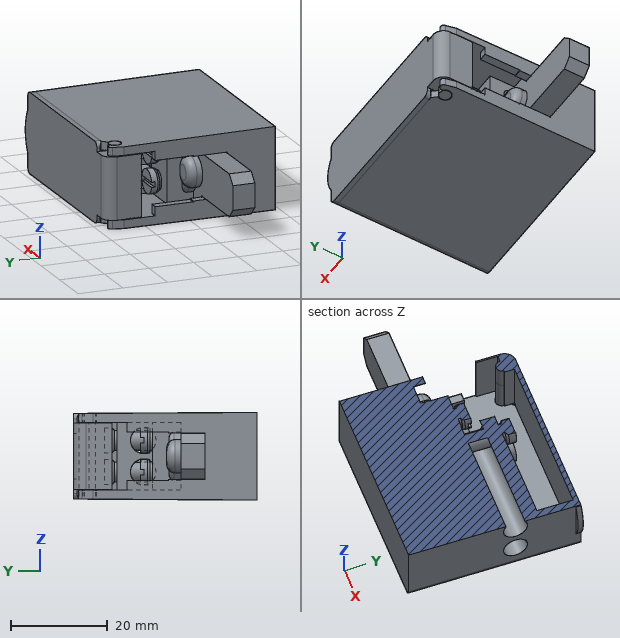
import cadquery as cq
import math

BODY_LENGTH = 42.1
TOTAL_HEIGHT = 38.0
BASE_WIDTH = 18.2
BASE_HALF_WIDTH = BASE_WIDTH / 2
LID_HALF_WIDTH = 8.9
LONG_EDGE_RADIUS = 1.2
WALL = 1.8

LID_THICKNESS = 1.15
LID_UNDERSIDE = TOTAL_HEIGHT - LID_THICKNESS
LID_START = 4.75
LID_END_RADIUS = 1.15
LID_END_BEVEL = 0.45
LID_CORNER_RADIUS = 2.6
FLAP_HALF_WIDTH = 6.9
FLAP_THICKNESS = 0.45
FLAP_BOTTOM = 30.0
TAB_LENGTH = 1.35
TAB_HALF_WIDTH = 4.7

PIN_X = 3.05
PIN_Y = 34.75
PIN_RADIUS = 1.35
SEAT_RADIUS = 1.45
SEAT_LEFT_ANGLE = 130
SEAT_RIGHT_ANGLE = 40
TOOTH_BASE_Y = 33.9
TOOTH_SHOULDER = (0.5, 36.25)
TOOTH_CREST = (1.2, 36.95)
SEAT_MOUTH_X = LID_START + LID_END_BEVEL

PRONG_LENGTH = 15.0
PRONG_BOTTOM = 10.8
PRONG_TOP = 15.7
PRONG_HALF_WIDTH = 4.7
PRONG_CHAMFER = 2.0

CAVITY_HALF_WIDTH = 7.0
SLOT_HALF_WIDTH = 5.0
PRONG_SLOT_HALF_WIDTH = 4.85
PRONG_SLOT_TOP = 18.35
OPENING_STEP_Y = 26.9
MIDDLE_STEP_X = 6.3
MIDDLE_STEP_Y = 21.65
UPPER_STEP_X = 14.6
UPPER_STEP_Y = 28.95

SCREW_PAIR_Z = 3.3
PRONG_SCREW_X = 4.8
PRONG_SCREW_RADIUS = 3.45
PRONG_SCREW_TOP_Y = 18.7
PRONG_SCREW_ROUNDING = 1.75
CLAMP_SCREW_X = 10.35
CLAMP_SCREW_RADIUS = 6.45
CLAMP_SCREW_TOP_Y = 18.25
CLAMP_SCREW_ROUNDING = 1.05
MIDDLE_SCREW_X = 11.35
MIDDLE_SCREW_RADIUS = 2.7
MIDDLE_SCREW_BASE_RADIUS = 2.5
MIDDLE_NECK_RADIUS = 2.15
MIDDLE_NECK_TOP = 22.15
MIDDLE_BEVEL_TOP = 22.7
MIDDLE_SCREW_TOP = 24.1
DRIVE_SLOT_WIDTH = 1.1
DRIVE_SLOT_DEPTH = 0.7
UPPER_SCREW_X = 18.1
UPPER_SHANK_RADIUS = 2.05
UPPER_SHANK_TOP = 29.45
UPPER_SCREW_RADIUS = 2.6
UPPER_SCREW_RIM_Y = 30.0
UPPER_SCREW_TOP = 31.6

WIRE_HOLE_RADIUS = 2.65
WIRE_HOLE_Y = 23.55


def block(x_range, y_range, half_width):
    """Box between the given X and Y limits, centred on Z = 0."""
    x_start, x_end = x_range
    y_start, y_end = y_range
    return (
        cq.Workplane("XY")
        .box(x_end - x_start, y_end - y_start, 2 * half_width, centered=(False, False, True))
        .translate((x_start, y_start, 0))
    )


def on_seat(angle):
    """Point on the rim of the pin seat, angle in degrees from +X."""
    turn = math.radians(angle)
    return (PIN_X + SEAT_RADIUS * math.cos(turn), PIN_Y + SEAT_RADIUS * math.sin(turn))


def tapered_body():
    """Body narrowing slightly towards the lid, with the hinge teeth on its upper front corner."""
    taper = (
        cq.Workplane("YZ")
        .polyline([
            (0, -BASE_HALF_WIDTH),
            (0, BASE_HALF_WIDTH),
            (LID_UNDERSIDE, LID_HALF_WIDTH),
            (TOTAL_HEIGHT, LID_HALF_WIDTH),
            (TOTAL_HEIGHT, -LID_HALF_WIDTH),
            (LID_UNDERSIDE, -LID_HALF_WIDTH),
        ])
        .close()
        .extrude(BODY_LENGTH)
        .faces(">X").edges("not |Z").fillet(LONG_EDGE_RADIUS)
    )
    side = (
        cq.Workplane("XY")
        .moveTo(0, 0)
        .lineTo(BODY_LENGTH, 0)
        .lineTo(BODY_LENGTH, LID_UNDERSIDE)
        .lineTo(SEAT_MOUTH_X, LID_UNDERSIDE)
        .lineTo(*on_seat(SEAT_RIGHT_ANGLE))
        .threePointArc(on_seat(-90), on_seat(SEAT_LEFT_ANGLE))
        .threePointArc(TOOTH_CREST, TOOTH_SHOULDER)
        .lineTo(0, TOOTH_BASE_Y)
        .close()
        .extrude(BASE_HALF_WIDTH, both=True)
    )
    return taper.intersect(side)


def cavity():
    """Front opening and the three-step space behind it."""
    rear = BODY_LENGTH - WALL
    stairs = (
        cq.Workplane("XY")
        .polyline([
            (WALL, PRONG_TOP),
            (MIDDLE_STEP_X, PRONG_TOP),
            (MIDDLE_STEP_X, MIDDLE_STEP_Y),
            (UPPER_STEP_X, MIDDLE_STEP_Y),
            (UPPER_STEP_X, UPPER_STEP_Y),
            (rear, UPPER_STEP_Y),
            (rear, LID_UNDERSIDE),
            (WALL, LID_UNDERSIDE),
        ])
        .close()
        .extrude(CAVITY_HALF_WIDTH, both=True)
    )
    wide_opening = block((0, WALL), (OPENING_STEP_Y, TOTAL_HEIGHT), CAVITY_HALF_WIDTH)
    narrow_opening = block((0, WALL), (PRONG_SLOT_TOP, OPENING_STEP_Y), SLOT_HALF_WIDTH)
    prong_slot = block((0, WALL), (PRONG_BOTTOM, PRONG_SLOT_TOP), PRONG_SLOT_HALF_WIDTH)
    return stairs.union(wide_opening).union(narrow_opening).union(prong_slot)


def lid():
    """Lid plate with its pull tab, the flap over the opening and the hinge pin."""
    plate = block((LID_START, BODY_LENGTH), (LID_UNDERSIDE, TOTAL_HEIGHT), LID_HALF_WIDTH)
    plate = plate.edges("|Z and <X and <Y").chamfer(LID_END_BEVEL)
    plate = plate.edges("|Y and <X").fillet(LID_END_RADIUS)
    plate = plate.edges("|Y and >X").fillet(LONG_EDGE_RADIUS)
    tab = (
        cq.Workplane("XZ", origin=(0, TOTAL_HEIGHT, 0))
        .moveTo(BODY_LENGTH - LONG_EDGE_RADIUS, -TAB_HALF_WIDTH)
        .lineTo(BODY_LENGTH, -TAB_HALF_WIDTH)
        .threePointArc((BODY_LENGTH + TAB_LENGTH, 0), (BODY_LENGTH, TAB_HALF_WIDTH))
        .lineTo(BODY_LENGTH - LONG_EDGE_RADIUS, TAB_HALF_WIDTH)
        .close()
        .extrude(LID_THICKNESS)
    )
    corner = block((0, LID_START + LID_END_RADIUS), (LID_UNDERSIDE, TOTAL_HEIGHT), FLAP_HALF_WIDTH)
    flap = block((0, FLAP_THICKNESS), (FLAP_BOTTOM, TOTAL_HEIGHT), FLAP_HALF_WIDTH)
    web = block((0, LID_START), (PIN_Y, TOTAL_HEIGHT), FLAP_HALF_WIDTH)
    wrap = corner.union(flap).union(web).edges("|Z and <X and >Y").fillet(LID_CORNER_RADIUS)
    pin = cq.Workplane("XY").center(PIN_X, PIN_Y).circle(PIN_RADIUS).extrude(LID_HALF_WIDTH, both=True)
    return plate.union(tab).union(wrap).union(pin)


def prong():
    """Flat contact prong with two chamfered corners."""
    blade = block((-PRONG_LENGTH, WALL), (PRONG_BOTTOM, PRONG_TOP), PRONG_HALF_WIDTH)
    return blade.edges("|Y and <X").chamfer(PRONG_CHAMFER)


def turned_screw(x, z, stations):
    """Solid of revolution about Y from (radius, y) stations listed from bottom to top."""
    bottom_y = stations[0][1]
    top_y = stations[-1][1]
    outline = [(0, bottom_y)] + stations + [(0, top_y)]
    screw = cq.Workplane("XY").polyline(outline).close().revolve(360, (0, 0, 0), (0, 1, 0))
    return screw.translate((x, 0, z))


def rounded_head(x, radius, top_y, rounding):
    """Round-edged screw head standing at prong level, centred across the width."""
    head = turned_screw(x, 0, [(radius, PRONG_TOP), (radius, top_y)])
    return head.faces(">Y").edges().fillet(rounding)


def middle_screw(z):
    """Terminal screw on the middle step, with a short neck and a slotted flat head."""
    head = turned_screw(
        MIDDLE_SCREW_X,
        z,
        [
            (MIDDLE_NECK_RADIUS, MIDDLE_STEP_Y),
            (MIDDLE_NECK_RADIUS, MIDDLE_NECK_TOP),
            (MIDDLE_SCREW_BASE_RADIUS, MIDDLE_NECK_TOP),
            (MIDDLE_SCREW_RADIUS, MIDDLE_BEVEL_TOP),
            (MIDDLE_SCREW_RADIUS, MIDDLE_SCREW_TOP),
        ],
    )
    slot_x = (MIDDLE_SCREW_X - MIDDLE_SCREW_RADIUS, MIDDLE_SCREW_X + MIDDLE_SCREW_RADIUS)
    slot_y = (MIDDLE_SCREW_TOP - DRIVE_SLOT_DEPTH, MIDDLE_SCREW_TOP)
    return head.cut(block(slot_x, slot_y, DRIVE_SLOT_WIDTH / 2).translate((0, 0, z)))


def upper_screw(z):
    """Terminal screw on the top step, its shank reaching down across the wire hole."""
    return turned_screw(
        UPPER_SCREW_X,
        z,
        [
            (UPPER_SHANK_RADIUS, WIRE_HOLE_Y - WIRE_HOLE_RADIUS),
            (UPPER_SHANK_RADIUS, UPPER_SHANK_TOP),
            (UPPER_SCREW_RADIUS, UPPER_SCREW_RIM_Y),
            (UPPER_SCREW_RADIUS, UPPER_SCREW_TOP),
        ],
    )


def wire_hole(z):
    """Hole from the face of the upper step out through the tab side."""
    return (
        cq.Workplane("YZ", origin=(UPPER_STEP_X, WIRE_HOLE_Y, z))
        .circle(WIRE_HOLE_RADIUS)
        .extrude(BODY_LENGTH - UPPER_STEP_X)
    )


prong_head = rounded_head(PRONG_SCREW_X, PRONG_SCREW_RADIUS, PRONG_SCREW_TOP_Y, PRONG_SCREW_ROUNDING)
clamp_head = rounded_head(CLAMP_SCREW_X, CLAMP_SCREW_RADIUS, CLAMP_SCREW_TOP_Y, CLAMP_SCREW_ROUNDING)

result = tapered_body().cut(cavity()).union(prong()).union(lid())
result = result.union(prong_head).union(clamp_head)
for pair_z in (-SCREW_PAIR_Z, SCREW_PAIR_Z):
    result = result.cut(wire_hole(pair_z)).union(middle_screw(pair_z)).union(upper_screw(pair_z))